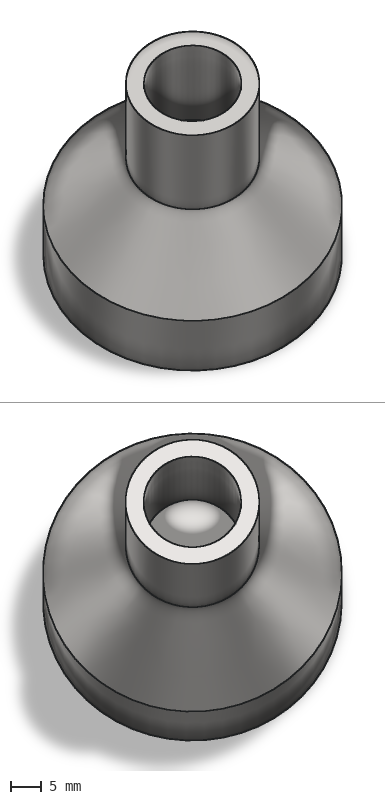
import cadquery as cq

base_diameter = 48.25
neck_diameter = 21.55
bore_diameter = 15.75
total_height = 43.9
base_height = 12.8
neck_height = 19.0

base_radius = base_diameter / 2
neck_radius = neck_diameter / 2
neck_bottom = total_height - neck_height
bore_depth = neck_height

body = (
    cq.Workplane("XZ")
    .moveTo(0, 0)
    .lineTo(base_radius, 0)
    .lineTo(base_radius, base_height)
    .lineTo(neck_radius, neck_bottom)
    .lineTo(neck_radius, total_height)
    .lineTo(0, total_height)
    .close()
    .revolve(360, (0, 0, 0), (0, 1, 0))
)

bore = (
    cq.Workplane("XY")
    .workplane(offset=total_height - bore_depth)
    .circle(bore_diameter / 2)
    .extrude(bore_depth)
)

result = body.cut(bore)